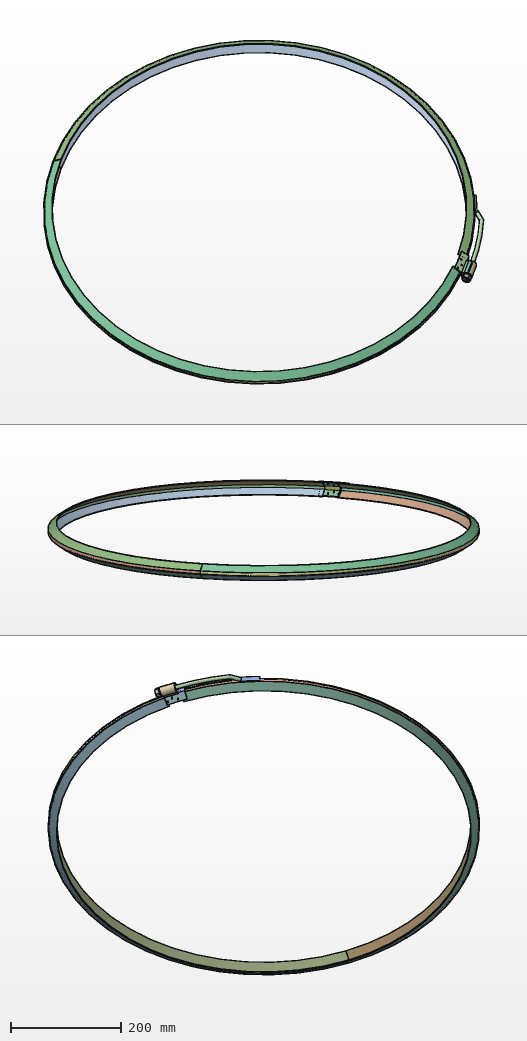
import cadquery as cq
import math

RING_RADIUS = 391.56
RING_HALF_HEIGHT = 14.12
WEB_HALF_HEIGHT = 3.6
LEG_INSET = 15.0
RING_SHEET = 2.0
SADDLE_SHEET = 2.5

RING_JOINT = 179.8
FIRST_HALF_START = 0.45
SECOND_HALF_END = 356.05

SADDLE_TOP_Y = 11.5
SADDLE_BOTTOM_Y = -29.5
HOLE_DIAMETER = 2.5
HOLE_SPACING = 10.0
INNER_HOLE_X = 384.5
OUTER_HOLE_X = 388.5

BOLT_DIAMETER = 8.0
BOLT_TIP_DIAMETER = 6.65
BOLT_ARC_RADIUS = 403.75
BOLT_ARC_END = 14.3
STRAP_START = 16.4
STRAP_END = 22.1
STRAP_THICKNESS = 3.5
STRAP_HALF_WIDTH = 5.0
CRANK_FOOT_RADIUS = 394.0
CRANK_FOOT_ANGLE = 17.0

SLEEVE_DIAMETER = 17.9
SLEEVE_TOP_Y = -1.0
NECK_HALF_HEIGHT = 6.5
SEAM_WIDTH = 2.4
SEAM_DEPTH = 1.0

NUT_FLATS = 15.0
NUT_LENGTH = 10.5
NUT_COLLAR = 2.4
NUT_CHAMFER = 2.0

LEG_RISE = RING_HALF_HEIGHT - WEB_HALF_HEIGHT
LEG_ANGLE = math.atan2(LEG_RISE, LEG_INSET)
LEG_LENGTH = math.hypot(LEG_RISE, LEG_INSET)
CORNER_SHIFT = (1 - math.sin(LEG_ANGLE)) / math.cos(LEG_ANGLE)
SADDLE_RADIUS = RING_RADIUS + SADDLE_SHEET
SADDLE_WEB_HALF_HEIGHT = WEB_HALF_HEIGHT + SADDLE_SHEET * CORNER_SHIFT
SADDLE_LEG_LENGTH = (RING_HALF_HEIGHT - SADDLE_WEB_HALF_HEIGHT) / math.sin(LEG_ANGLE)
SLEEVE_MIDDLE_Y = (SLEEVE_TOP_Y + SADDLE_BOTTOM_Y) / 2
NUT_END_Y = SADDLE_BOTTOM_Y - NUT_LENGTH


def polar(radius, degrees):
    angle = math.radians(degrees)
    return (radius * math.cos(angle), radius * math.sin(angle))


def channel(radius, web_half_height, leg_length, sheet, start, end):
    """V-shaped sheet channel, open toward the axis, swept from start to end degrees."""
    run = leg_length * math.cos(LEG_ANGLE)
    rise = leg_length * math.sin(LEG_ANGLE)
    inner_radius = radius - sheet
    inner_half_height = web_half_height - sheet * CORNER_SHIFT
    tip = (radius - run, web_half_height + rise)
    inner_tip = (tip[0] - sheet * math.sin(LEG_ANGLE), tip[1] - sheet * math.cos(LEG_ANGLE))
    upper = [inner_tip, tip, (radius, web_half_height)]
    lower = [(r, -z) for r, z in reversed(upper)]
    inner = [(inner_radius, -inner_half_height), (inner_radius, inner_half_height)]
    section = cq.Workplane("XZ").polyline(upper + lower + inner).close()
    swept = section.revolve(end - start, (0, 0), (0, 1))
    return swept.rotate((0, 0, 0), (0, 0, 1), start)


def y_cylinder(diameter, start_y, end_y):
    """Cylinder on the straight bolt axis, between two Y positions."""
    plane = cq.Workplane("XZ", origin=(BOLT_ARC_RADIUS, start_y, 0))
    return plane.circle(diameter / 2).extrude(start_y - end_y)


def ring_half(start, end):
    return channel(RING_RADIUS, WEB_HALF_HEIGHT, LEG_LENGTH, RING_SHEET, start, end)


first_half = ring_half(FIRST_HALF_START, RING_JOINT)
second_half = ring_half(RING_JOINT, SECOND_HALF_END)


def make_bridge():
    start = math.degrees(math.asin(SADDLE_BOTTOM_Y / SADDLE_RADIUS))
    end = math.degrees(math.asin(SADDLE_TOP_Y / SADDLE_RADIUS))
    bridge = channel(
        SADDLE_RADIUS, SADDLE_WEB_HALF_HEIGHT, SADDLE_LEG_LENGTH, SADDLE_SHEET, start, end
    )
    centres = [
        (OUTER_HOLE_X, SLEEVE_MIDDLE_Y),
        (INNER_HOLE_X, SLEEVE_MIDDLE_Y - HOLE_SPACING),
        (INNER_HOLE_X, SLEEVE_MIDDLE_Y + HOLE_SPACING),
    ]
    holes = cq.Workplane("XY").pushPoints(centres).circle(HOLE_DIAMETER / 2)
    return bridge.cut(holes.extrude(RING_HALF_HEIGHT, both=True))


def make_sleeve():
    length = SLEEVE_TOP_Y - SADDLE_BOTTOM_Y
    neck_start = RING_RADIUS + SADDLE_SHEET / 2
    neck_length = BOLT_ARC_RADIUS - neck_start
    neck = cq.Workplane("XY").box(neck_length, length, 2 * NECK_HALF_HEIGHT).translate(
        (neck_start + neck_length / 2, SLEEVE_MIDDLE_Y, 0)
    )
    seam = cq.Workplane("XY").box(SEAM_WIDTH, length, SEAM_DEPTH).translate(
        (BOLT_ARC_RADIUS + SEAM_WIDTH / 2, SLEEVE_MIDDLE_Y, (SLEEVE_DIAMETER - SEAM_DEPTH) / 2)
    )
    barrel = y_cylinder(SLEEVE_DIAMETER, SLEEVE_TOP_Y, SADDLE_BOTTOM_Y)
    bore = y_cylinder(BOLT_DIAMETER, SLEEVE_TOP_Y, SADDLE_BOTTOM_Y)
    return barrel.union(neck).cut(bore).cut(seam)


saddle = make_bridge().union(make_sleeve())


def make_bolt():
    strap_outer = RING_RADIUS + STRAP_THICKNESS
    middle = (STRAP_START + STRAP_END) / 2
    strap = (
        cq.Workplane("XY")
        .moveTo(*polar(RING_RADIUS, STRAP_START))
        .threePointArc(polar(RING_RADIUS, middle), polar(RING_RADIUS, STRAP_END))
        .lineTo(*polar(strap_outer, STRAP_END))
        .threePointArc(polar(strap_outer, middle), polar(strap_outer, STRAP_START))
        .close()
        .extrude(STRAP_HALF_WIDTH, both=True)
    )
    half = BOLT_DIAMETER / 2
    elbow = cq.Vector(*polar(BOLT_ARC_RADIUS, BOLT_ARC_END))
    foot = cq.Vector(*polar(CRANK_FOOT_RADIUS, CRANK_FOOT_ANGLE))
    slope = elbow - foot
    crank_plane = cq.Plane(origin=foot, xDir=(0, 0, 1), normal=slope)
    crank = cq.Workplane(crank_plane).circle(half).extrude(slope.Length)
    ring_space = cq.Workplane("XY").circle(RING_RADIUS).extrude(BOLT_DIAMETER, both=True)
    crank = crank.cut(ring_space)
    knuckle = cq.Workplane("XY", origin=elbow.toTuple()).sphere(half)
    path = (
        cq.Workplane("XY")
        .moveTo(BOLT_ARC_RADIUS, 0)
        .threePointArc(polar(BOLT_ARC_RADIUS, BOLT_ARC_END / 2), polar(BOLT_ARC_RADIUS, BOLT_ARC_END))
    )
    shank = cq.Workplane("XZ", origin=(BOLT_ARC_RADIUS, 0, 0)).circle(half).sweep(path)
    end = y_cylinder(BOLT_DIAMETER, 0, SADDLE_BOTTOM_Y)
    tip = y_cylinder(BOLT_TIP_DIAMETER, SADDLE_BOTTOM_Y, NUT_END_Y)
    return strap.union(crank).union(knuckle).union(shank).union(end).union(tip)


bolt = make_bolt()


def make_nut():
    corners = NUT_FLATS / math.cos(math.pi / 6)
    plane = cq.Workplane("XZ", origin=(BOLT_ARC_RADIUS, SADDLE_BOTTOM_Y, 0))
    hexagon = plane.polygon(6, corners).extrude(NUT_LENGTH)
    envelope = plane.circle(corners / 2).extrude(NUT_LENGTH).faces("<Y").chamfer(NUT_CHAMFER)
    bore = y_cylinder(BOLT_TIP_DIAMETER, SADDLE_BOTTOM_Y, NUT_END_Y)
    collar = plane.circle(corners / 2).extrude(NUT_COLLAR)
    return hexagon.intersect(envelope).union(collar).cut(bore)


nut = make_nut()

result = cq.Compound.makeCompound([
    first_half.val(),
    second_half.val(),
    saddle.val(),
    bolt.val(),
    nut.val(),
])